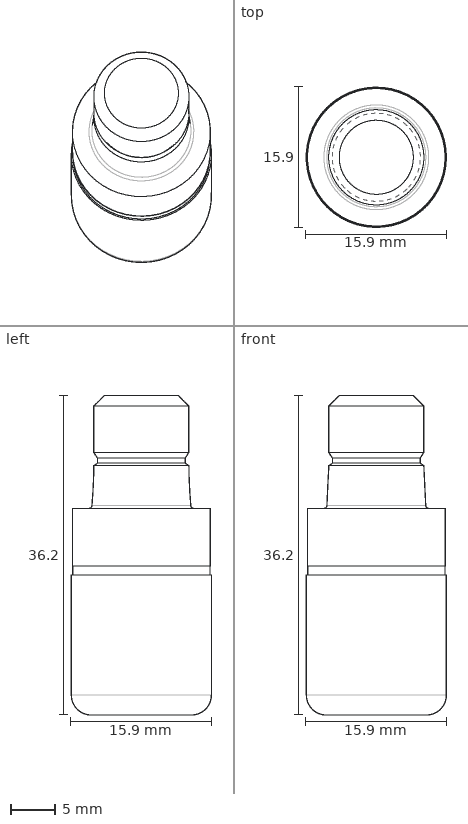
import cadquery as cq

TOTAL_HEIGHT = 36.2
CAP_HEIGHT = 15.9
RELIEF_HEIGHT = 0.98
SHOULDER_Z = 23.42
GROOVE_BOTTOM_Z = 28.25
GROOVE_TOP_Z = 29.75

CAP_RADIUS = 15.9 / 2
COLLAR_RADIUS = 7.82
RELIEF_RADIUS = 7.8
STEM_ROOT_RADIUS = 5.6
TIP_RADIUS = 5.4
GROOVE_DEPTH = 0.4

CAP_ROUND = 2.28
ROOT_FILLET = 0.33
TIP_CHAMFER = 1.2
GROOVE_UPPER_SLOPE = 0.65
GROOVE_LOWER_SLOPE = 0.3


def make_cap():
    """Solid cylindrical cap with a rounded bottom edge."""
    return cq.Workplane("XY").circle(CAP_RADIUS).extrude(CAP_HEIGHT).faces("<Z").edges().fillet(CAP_ROUND)


def make_stud():
    """Revolved collar with a tapered stem, a groove and a chamfered tip."""
    relief_top_z = CAP_HEIGHT + RELIEF_HEIGHT
    groove_radius = TIP_RADIUS - GROOVE_DEPTH
    profile = (
        cq.Workplane("XZ")
        .moveTo(0, CAP_HEIGHT)
        .lineTo(RELIEF_RADIUS, CAP_HEIGHT)
        .lineTo(RELIEF_RADIUS, relief_top_z)
        .lineTo(COLLAR_RADIUS, relief_top_z)
        .lineTo(COLLAR_RADIUS, SHOULDER_Z)
        .lineTo(STEM_ROOT_RADIUS + ROOT_FILLET, SHOULDER_Z)
        .tangentArcPoint((STEM_ROOT_RADIUS, SHOULDER_Z + ROOT_FILLET), relative=False)
        .lineTo(TIP_RADIUS, GROOVE_BOTTOM_Z)
        .lineTo(groove_radius, GROOVE_BOTTOM_Z + GROOVE_LOWER_SLOPE)
        .lineTo(groove_radius, GROOVE_TOP_Z - GROOVE_UPPER_SLOPE)
        .lineTo(TIP_RADIUS, GROOVE_TOP_Z)
        .lineTo(TIP_RADIUS, TOTAL_HEIGHT - TIP_CHAMFER)
        .lineTo(TIP_RADIUS - TIP_CHAMFER, TOTAL_HEIGHT)
        .lineTo(0, TOTAL_HEIGHT)
        .close()
    )
    return profile.revolve(360, (0, 0, 0), (0, 1, 0))


cap = make_cap()
stud = make_stud()

result = cq.Compound.makeCompound([cap.val(), stud.val()])